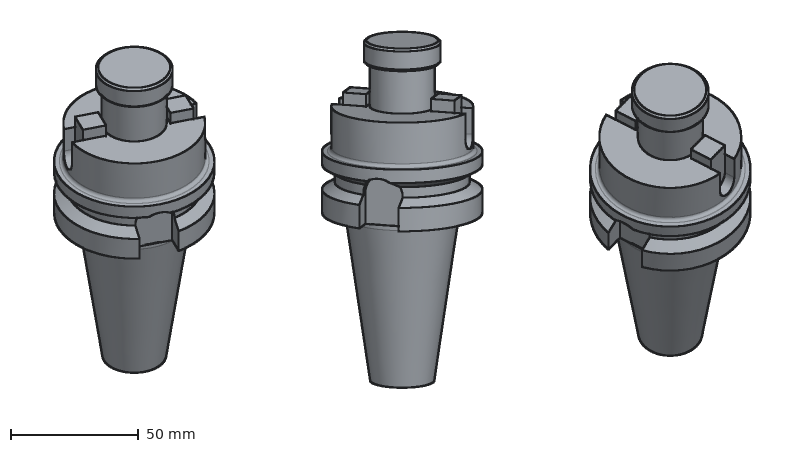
import cadquery as cq
import math

total_height = 137.2

taper_ratio = 7 / 24
gauge_radius = 22.2
taper_height = 65.7
tip_radius = gauge_radius - taper_height * taper_ratio / 2

flange_radius = 31.5
flange_bottom = 67.7
flange_top = 92.5
lower_rim_height = 9.5
upper_rim_height = 5.4
groove_radius = 26.5
groove_flare_angle = 30.0
groove_flare_height = (flange_radius - groove_radius) * math.tan(math.radians(groove_flare_angle))

drive_slot_width = 16.2
drive_slot_top = 88.5
drive_slot_floor = 22.5

collar_radius = 27.9
collar_top = 110.6
collar_fillet = 1.5
spigot_radius = 12.8

head_radius = 15.1
head_height = 9.2
head_chamfer = 1.0
head_bottom = total_height - head_height

key_width = 9.54
key_inner = 13.3
key_length = 9.6
key_bottom = 95.4
key_top = 115.5
KEY_SIDES = (-1, 1)


def round_ended_block(width, depth, bottom, top, round_edges):
    """Upright block along +Y from the XZ plane, with its bottom or top edges fully rounded."""
    radius = width / 2
    if round_edges == "top":
        flat_end, arc_end, tip = bottom, top - radius, top
    else:
        flat_end, arc_end, tip = top, bottom + radius, bottom
    return (
        cq.Workplane("XZ")
        .moveTo(-radius, flat_end)
        .lineTo(-radius, arc_end)
        .threePointArc((0, tip), (radius, arc_end))
        .lineTo(radius, flat_end)
        .close()
        .extrude(-depth)
    )


def turned_body():
    """Taper, flange, collar and spigot as one revolved profile."""
    lower_rim_top = flange_bottom + lower_rim_height
    upper_rim_bottom = flange_top - upper_rim_height
    arc_inset = collar_fillet * (1 - 0.5 ** 0.5)
    profile = (
        cq.Workplane("XZ")
        .lineTo(tip_radius, 0)
        .lineTo(gauge_radius, taper_height)
        .lineTo(gauge_radius, flange_bottom)
        .lineTo(flange_radius, flange_bottom)
        .lineTo(flange_radius, lower_rim_top)
        .lineTo(groove_radius, lower_rim_top + groove_flare_height)
        .lineTo(groove_radius, upper_rim_bottom - groove_flare_height)
        .lineTo(flange_radius, upper_rim_bottom)
        .lineTo(flange_radius, flange_top)
        .lineTo(collar_radius + collar_fillet, flange_top)
        .threePointArc(
            (collar_radius + arc_inset, flange_top + arc_inset),
            (collar_radius, flange_top + collar_fillet),
        )
        .lineTo(collar_radius, collar_top)
        .lineTo(spigot_radius, collar_top)
        .lineTo(spigot_radius, head_bottom)
        .lineTo(0, head_bottom)
        .close()
    )
    return profile.revolve(360, (0, 0, 0), (0, 1, 0))


def drive_slot(turn):
    """Cutter for one flange slot, open at the bottom and at the rim."""
    return (
        round_ended_block(
            drive_slot_width, flange_radius, flange_bottom, drive_slot_top, "top"
        )
        .translate((0, drive_slot_floor, 0))
        .rotate((0, 0, 0), (0, 0, 1), turn)
    )


def key_block(side, length):
    """Round-bottomed block running outward from the inner key face, on the +Y or -Y side."""
    block = round_ended_block(key_width, length, key_bottom, key_top, "bottom")
    block = block.translate((0, key_inner, 0))
    return block if side > 0 else block.rotate((0, 0, 0), (0, 0, 1), 180)


def key_seat(side):
    """Cutter for one key seat, open at the top and at the collar wall."""
    return key_block(side, collar_radius + collar_fillet - key_inner)


def make_holder():
    holder = turned_body()
    for turn in (90, -90):
        holder = holder.cut(drive_slot(turn))
    for side in KEY_SIDES:
        holder = holder.cut(key_seat(side))
    return holder


def make_key(side):
    return key_block(side, key_length)


def make_screw_head():
    head = cq.Workplane("XY", origin=(0, 0, head_bottom)).circle(head_radius).extrude(head_height)
    return head.faces("<Z or >Z").edges().chamfer(head_chamfer)


holder = make_holder()
screw_head = make_screw_head()
keys = [make_key(side).val() for side in KEY_SIDES]

result = cq.Compound.makeCompound([holder.val(), screw_head.val(), *keys])